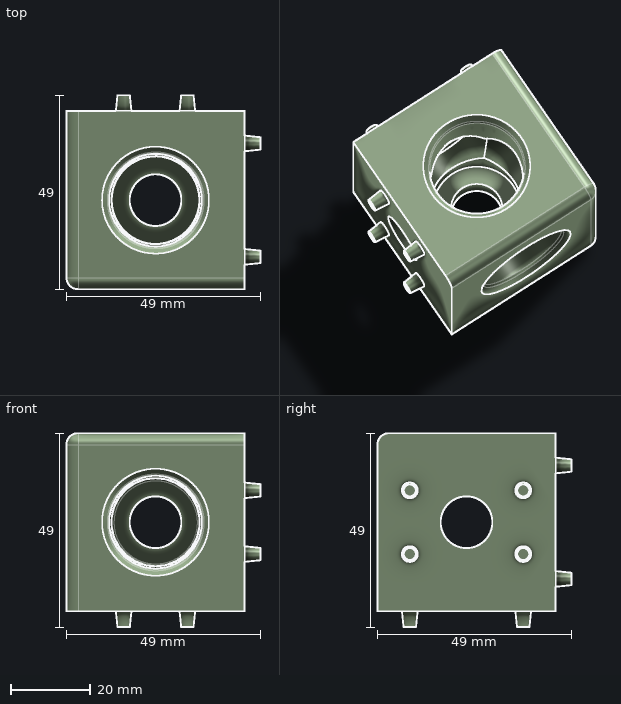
import cadquery as cq

overall = 49.0
pin_height = 4.0
body_side = overall - pin_height
half_side = body_side / 2
edge_radius = 2.95

mouth_diameter = 27.0
bore_top_diameter = 23.85
bore_floor_diameter = 22.05
mouth_depth = (mouth_diameter - bore_top_diameter) / 2
mouth_blend_radius = 1.0
floor_blend_radius = 0.55
floor_thickness = 6.5
bore_depth = body_side - floor_thickness
through_diameter = 13.0

pin_base_diameter = 4.0
pin_tip_diameter = 3.2
pin_tip_chamfer = 0.1
pin_offset_short = 8.05
pin_offset_long = 14.3

x_axis = cq.Vector(1, 0, 0)
y_axis = cq.Vector(0, 1, 0)
z_axis = cq.Vector(0, 0, 1)


def make_body():
    """Centred cube whose three edges at the (-X, -Y, +Z) corner are rounded."""
    cube = cq.Workplane("XY").box(body_side, body_side, body_side)
    edges = cube.edges("(<X and <Y) or (<X and >Z) or (<Y and >Z)")
    return edges.fillet(edge_radius)


def make_bore(outward, round_floor):
    """Bore entering the face with normal `outward`, with a through hole in its floor."""
    profile = [
        (0, 0),
        (mouth_diameter / 2, 0),
        (bore_top_diameter / 2, mouth_depth),
        (bore_floor_diameter / 2, bore_depth),
        (0, bore_depth),
    ]
    bore = cq.Workplane("XZ").polyline(profile).close().revolve(360, (0, 0), (0, 1))
    if round_floor:
        bore = bore.faces(">Z").edges().fillet(floor_blend_radius)
    mouth_edge = cq.selectors.BoxSelector(
        (-mouth_diameter, -mouth_diameter, mouth_depth / 2),
        (mouth_diameter, mouth_diameter, 2 * mouth_depth),
    )
    bore = bore.edges("%CIRCLE").edges(mouth_edge).fillet(mouth_blend_radius)
    through_hole = cq.Workplane("XY").circle(through_diameter / 2).extrude(body_side)
    bore = bore.union(through_hole)
    entry_plane = cq.Plane(origin=outward * half_side, normal=outward * -1)
    return cq.Workplane(bore.val().moved(cq.Location(entry_plane)))


def make_pins(outward, long_direction):
    """Rectangle of four pins on the face with normal `outward`."""
    cone = cq.Solid.makeCone(pin_base_diameter / 2, pin_tip_diameter / 2, pin_height)
    pin = cq.Workplane(cone).faces(">Z").chamfer(pin_tip_chamfer).val()
    face_plane = cq.Plane(origin=outward * half_side, xDir=long_direction, normal=outward)
    return (
        cq.Workplane(face_plane)
        .rect(2 * pin_offset_long, 2 * pin_offset_short, forConstruction=True)
        .vertices()
        .eachpoint(pin, useLocalCoordinates=True)
    )


bores = [(-x_axis, False), (-y_axis, True), (z_axis, False)]

pin_groups = [(x_axis, y_axis), (y_axis, z_axis), (-z_axis, y_axis)]

result = make_body()
for outward, round_floor in bores:
    result = result.cut(make_bore(outward, round_floor))
for outward, long_direction in pin_groups:
    result = result.union(make_pins(outward, long_direction))